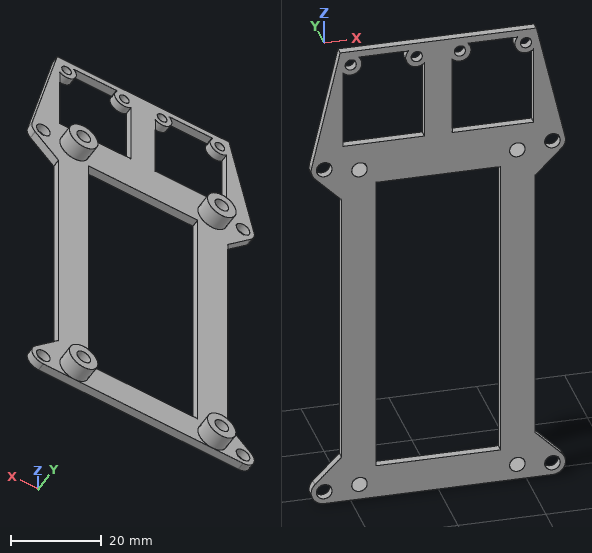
import cadquery as cq
import math

height = 113.0
thickness = 2.0
top_half_width = 22.4
neck_half_width = 22.0

ear_diameter = 6.0
ear_radius = ear_diameter / 2
ear_x = 26.0
lower_ear_z = ear_radius
upper_ear_z = 84.1
ear_slope_degrees = 45
hole_diameter = 3.5

standoff_diameter = 7.5
standoff_length = 4.0
standoff_x = 18.0
standoff_zs = (standoff_diameter / 2, 82.9)

main_window_width = 28.4
main_window_bottom = 7.9
main_window_top = 79.2

small_window_x = 12.4
small_window_width = 18.5
small_window_bottom = 89.4
small_window_top = 111.3
tab_spacing = 15.0
tab_z = 109.6
tab_diameter = 5.1
tab_hole_diameter = 2.5

SIDES = (-1, 1)


def extrude_cylinders(points, diameter, length):
    """Cylinders at (x, z) points, running from Y = 0 to Y = length."""
    plane = cq.Workplane("XZ").pushPoints(points)
    return plane.circle(diameter / 2).extrude(-length)


def window(x_center, width, bottom, top):
    """Rectangular cutter through the plate."""
    plane = cq.Workplane("XZ").center(x_center, (bottom + top) / 2)
    return plane.rect(width, top - bottom).extrude(-thickness)


def ear_point(z_center, angle):
    """Point on the right-hand ear arc at an angle measured from +X."""
    return (
        ear_x + ear_radius * math.cos(angle),
        z_center + ear_radius * math.sin(angle),
    )


def half_plate():
    """Right half of the outline; straight edges run tangent into the ears."""
    slope = math.radians(ear_slope_degrees)
    neck_offset = (ear_x - neck_half_width) * math.tan(slope) + ear_radius / math.cos(slope)
    corner_dx = top_half_width - ear_x
    corner_dz = height - upper_ear_z
    corner_angle = math.atan2(corner_dz, corner_dx)
    side_angle = corner_angle - math.acos(ear_radius / math.hypot(corner_dx, corner_dz))
    upper_mid_angle = (side_angle - slope) / 2
    return (
        cq.Workplane("XZ")
        .lineTo(ear_x, 0)
        .threePointArc(ear_point(lower_ear_z, 0), ear_point(lower_ear_z, slope))
        .lineTo(neck_half_width, lower_ear_z + neck_offset)
        .lineTo(neck_half_width, upper_ear_z - neck_offset)
        .lineTo(*ear_point(upper_ear_z, -slope))
        .threePointArc(ear_point(upper_ear_z, upper_mid_angle), ear_point(upper_ear_z, side_angle))
        .lineTo(top_half_width, height)
        .lineTo(0, height)
        .close()
        .extrude(-thickness)
    )


ear_points = [(side * ear_x, z) for side in SIDES for z in (lower_ear_z, upper_ear_z)]
standoff_points = [(side * standoff_x, z) for side in SIDES for z in standoff_zs]
tab_points = [
    (side * small_window_x + end * tab_spacing / 2, tab_z)
    for side in SIDES
    for end in SIDES
]

right_half = half_plate()
result = right_half.union(right_half.mirror("YZ"))
result = result.cut(window(0, main_window_width, main_window_bottom, main_window_top))
for side in SIDES:
    result = result.cut(
        window(side * small_window_x, small_window_width, small_window_bottom, small_window_top)
    )

result = result.union(extrude_cylinders(tab_points, tab_diameter, thickness))
result = result.union(
    extrude_cylinders(standoff_points, standoff_diameter, thickness + standoff_length)
)

result = result.cut(extrude_cylinders(tab_points, tab_hole_diameter, thickness))
result = result.cut(extrude_cylinders(ear_points, hole_diameter, thickness))
result = result.cut(
    extrude_cylinders(standoff_points, hole_diameter, thickness + standoff_length)
)